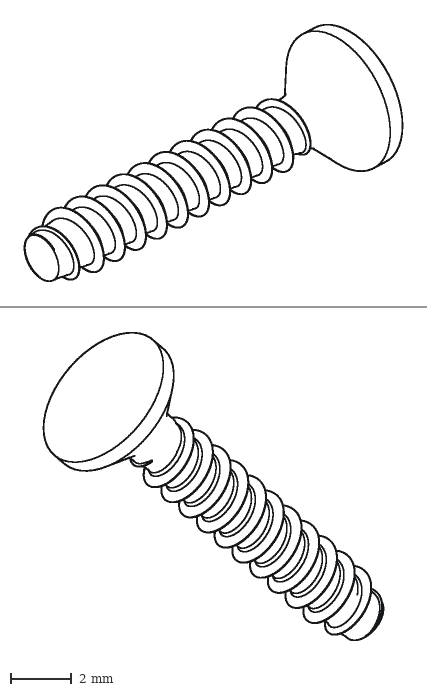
import cadquery as cq
import math

length = 14.0

head_radius = length / 5.6
rim_height = 0.56
neck_radius = 0.95
neck_fillet = 1.0
neck_end = 2.72

root_radius = 0.87
root_start = 3.11
tip_radius = 0.83
tip_taper_start = 13.33
tip_cone_height = 0.021
tip_shoulder = length - tip_cone_height

pitch = 0.95
crest_radius = head_radius / 2
crest_flat = 0.03
head_flank_run = 0.44
tip_flank_run = 0.36
shoulder_height = 0.05
head_side_root = 0.31
tip_side_root = 0.63
root_sink = 0.007
thread_floor_radius = 0.75
pieces_per_turn = 2
points_per_piece = 10

thread_start = 2.59
thread_start_share = 0.38
thread_end_share = 0.02
full_start = 3.55
full_end = 12.65
thread_turns = 12
thread_end = thread_start + pitch * thread_turns
thread_tip_gap = 0.05
start_angle = -90.0


def revolved_body():
    """Head, filleted neck, core and shallow conical tip in one revolved outline."""
    cone_to_neck = rim_height + head_radius - neck_radius
    half_bend = math.radians(45 / 2)
    tangent_length = neck_fillet * math.tan(half_bend)
    cone_tangent_run = tangent_length * math.cos(math.radians(45))
    fillet_end = cone_to_neck + tangent_length
    mid_radius = neck_radius + neck_fillet * (1 - math.cos(half_bend))
    mid_depth = fillet_end - neck_fillet * math.sin(half_bend)
    return (
        cq.Workplane("XY")
        .lineTo(head_radius, 0)
        .lineTo(head_radius, -rim_height)
        .lineTo(neck_radius + cone_tangent_run, cone_tangent_run - cone_to_neck)
        .threePointArc((mid_radius, -mid_depth), (neck_radius, -fillet_end))
        .lineTo(neck_radius, -neck_end)
        .lineTo(root_radius, -root_start)
        .lineTo(root_radius, -tip_taper_start)
        .lineTo(tip_radius, -tip_shoulder)
        .lineTo(0, -length)
        .close()
        .revolve(360, (0, 0, 0), (0, 1, 0))
    )


def core_radius(depth):
    """Core radius below the neck: straight, then tapered to the tip."""
    tapered = max(0, depth - tip_taper_start) / (tip_shoulder - tip_taper_start)
    return root_radius - tapered * (root_radius - tip_radius)


def height_share(depth):
    """Ridge height at a crest depth as a share of the full height: fades in, stays full, runs out."""
    if depth < full_start:
        grown = (depth - thread_start) / (full_start - thread_start)
        return thread_start_share + (1 - thread_start_share) * grown
    if depth > full_end:
        left = (thread_end - depth) / (thread_end - full_end)
        return thread_end_share + (1 - thread_end_share) * left
    return 1.0


def thread_section(depth):
    """Corners of the thread section as (depth, radius), from the head side round to the floor."""
    share = height_share(depth)
    core = core_radius(depth)
    top = core + share * (crest_radius - core)
    shoulder = core + share * shoulder_height
    half_flat = crest_flat / 2
    ridge_height = top - shoulder
    head_side = depth - head_side_root
    tip_side = depth + tip_side_root
    return [
        (head_side, core_radius(head_side) - root_sink),
        (depth - half_flat - head_flank_run * ridge_height, shoulder),
        (depth - half_flat, top),
        (depth + half_flat, top),
        (depth + half_flat + tip_flank_run * ridge_height, shoulder),
        (tip_side, core_radius(tip_side) - root_sink),
        (tip_side, thread_floor_radius),
        (head_side, thread_floor_radius),
    ]


def thread_corners(turn):
    """Corners of the thread section in space, a number of turns after the thread start."""
    angle = math.radians(start_angle + 360 * turn)
    return [
        cq.Vector(radius * math.cos(angle), -depth, radius * math.sin(angle))
        for depth, radius in thread_section(thread_start + pitch * turn)
    ]


def thread_sides(first_turn, last_turn):
    """Ruled faces between the helix pieces that the section corners trace from one turn to another."""
    step = (last_turn - first_turn) / points_per_piece
    marks = range(points_per_piece + 1)
    places = [thread_corners(first_turn + step * mark) for mark in marks]
    helices = [cq.Edge.makeSpline(list(path), parameters=list(marks)) for path in zip(*places)]
    following = helices[1:] + helices[:1]
    return [cq.Face.makeRuledSurface(helix, neighbour) for helix, neighbour in zip(helices, following)]


def thread():
    """Thread solid: the ruled sides, built in short pieces, closed by a flat face at each end."""
    faces = []
    for piece in range(thread_turns * pieces_per_turn):
        faces += thread_sides(piece / pieces_per_turn, (piece + 1) / pieces_per_turn)
    for turn in (0, thread_turns):
        section = cq.Wire.makePolygon(thread_corners(turn), close=True)
        faces.append(cq.Face.makeFromWires(section))
    return cq.Workplane(obj=cq.Solid.makeSolid(cq.Shell.makeShell(faces)))


def thread_range():
    """Space the thread may fill: from its first crest to just short of the tip."""
    end = length - thread_tip_gap
    return cq.Workplane("XZ").workplane(offset=thread_start).circle(head_radius).extrude(end - thread_start)


result = revolved_body().union(thread().intersect(thread_range())).solids()